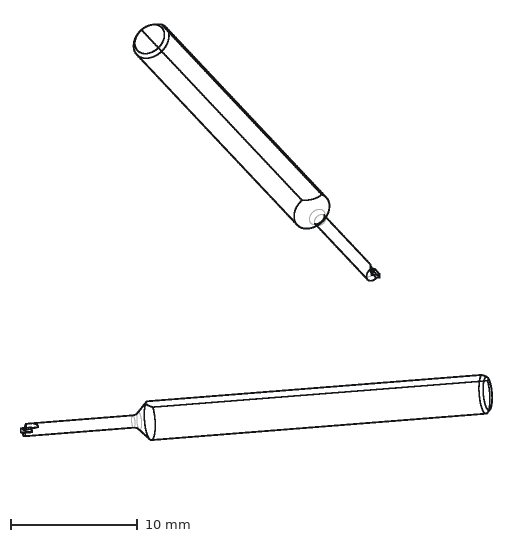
import cadquery as cq
import math

total_length = 38.1
shank_diameter = 3.15
overall_height = 2.9
shank_length = 27.7
rear_chamfer = 0.25

neck_radius = 0.5
blend_radius = 0.7
cone_angle = math.radians(45)

body_end = 38.02
tooth_start = 37.22
tooth_reach = 0.6
tooth_root = 0.35
tooth_thickness = 0.35
pocket_start = 36.7
pocket_end = 37.87
relief_depth = 0.15

shank_radius = shank_diameter / 2
flat_height = overall_height - shank_radius


def make_body():
    """Revolve the shank, shoulder, blend and neck about the X axis."""
    corner_x = shank_length + (shank_radius - neck_radius) / math.tan(cone_angle)
    blend_end_x = corner_x + blend_radius * math.tan(cone_angle / 2)
    blend_center_r = neck_radius + blend_radius

    def blend_point(angle):
        return (
            blend_end_x - blend_radius * math.sin(angle),
            blend_center_r - blend_radius * math.cos(angle),
        )

    return (
        cq.Workplane("XZ")
        .moveTo(0, 0)
        .lineTo(0, shank_radius - rear_chamfer)
        .lineTo(rear_chamfer, shank_radius)
        .lineTo(shank_length, shank_radius)
        .lineTo(*blend_point(cone_angle))
        .threePointArc(blend_point(cone_angle / 2), blend_point(0))
        .lineTo(body_end, neck_radius)
        .lineTo(body_end, 0)
        .close()
        .revolve(360, (0, 0, 0), (1, 0, 0))
    )


def make_shank_flat():
    """Material above the clamping flat."""
    return cq.Workplane("XY").workplane(offset=flat_height).rect(
        2 * total_length, 2 * shank_diameter
    ).extrude(shank_diameter)


def make_chip_pocket():
    """Slanted pocket that opens the upper half of the tip on the +Y side."""
    return (
        cq.Workplane("XY")
        .moveTo(pocket_start, neck_radius)
        .lineTo(pocket_end, 0)
        .lineTo(total_length, 0)
        .lineTo(total_length, shank_radius)
        .lineTo(pocket_start, shank_radius)
        .close()
        .extrude(shank_radius)
    )


def make_tip_relief():
    """Bevel on the upper half of the end face."""
    return (
        cq.Workplane("XZ")
        .moveTo(body_end, 0)
        .lineTo(body_end - relief_depth, neck_radius)
        .lineTo(total_length, neck_radius)
        .lineTo(total_length, 0)
        .close()
        .extrude(shank_radius, both=True)
    )


def make_tooth():
    """Pointed cutting tooth with its rake face on the axis plane."""
    return (
        cq.Workplane("XY")
        .moveTo(tooth_start, 0)
        .lineTo(tooth_start, tooth_reach)
        .lineTo(total_length, tooth_reach)
        .lineTo(body_end, tooth_root)
        .lineTo(body_end, 0)
        .close()
        .extrude(-tooth_thickness)
    )


result = (
    make_body()
    .cut(make_shank_flat())
    .cut(make_chip_pocket())
    .cut(make_tip_relief())
    .union(make_tooth())
)